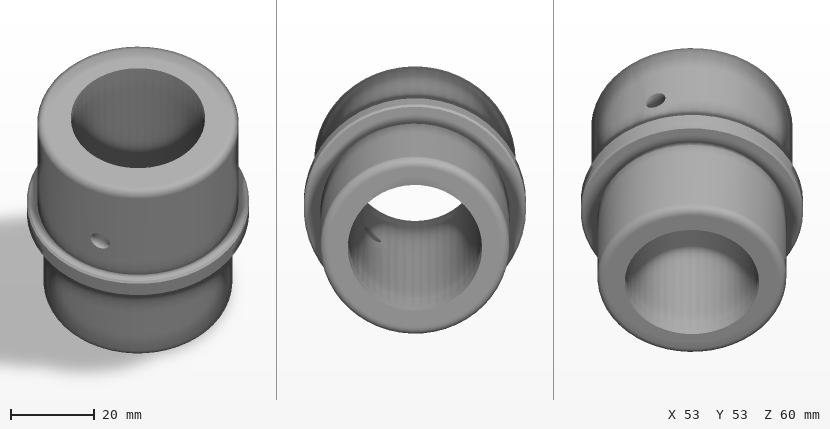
import cadquery as cq

height = 60.0
bore_diameter = 32.0
upper_diameter = 48.0
lower_diameter = 45.0
flange_diameter = 53.0
flange_bottom = 26.0
flange_thickness = 5.0
flange_chamfer = 0.5
end_fillet = 2.0
neck_height = 2.0
neck_depth = 0.7
side_hole_diameter = 5.0
side_hole_height = 41.0

flange_top = flange_bottom + flange_thickness
lower_radius = lower_diameter / 2
upper_radius = upper_diameter / 2


def cylinder(diameter, bottom, top):
    """Solid cylinder on the Z axis between two heights."""
    return cq.Workplane("XY").workplane(offset=bottom).circle(diameter / 2).extrude(top - bottom)


lower_body = (
    cq.Workplane("XZ")
    .lineTo(lower_radius, 0)
    .lineTo(lower_radius, flange_bottom - neck_height)
    .lineTo(lower_radius - neck_depth, flange_bottom)
    .lineTo(0, flange_bottom)
    .close()
    .revolve(360, (0, 0, 0), (0, 1, 0))
    .faces("<Z").edges().fillet(end_fillet)
)

upper_body = cylinder(upper_diameter, flange_top, height).faces(">Z").edges().fillet(end_fillet)

flange = cylinder(flange_diameter, flange_bottom, flange_top).edges().chamfer(flange_chamfer)

bore = cylinder(bore_diameter, 0, height)

side_hole = (
    cq.Workplane("XZ")
    .center(0, side_hole_height)
    .circle(side_hole_diameter / 2)
    .extrude(upper_radius)
)

result = lower_body.union(flange).union(upper_body).cut(bore).cut(side_hole)